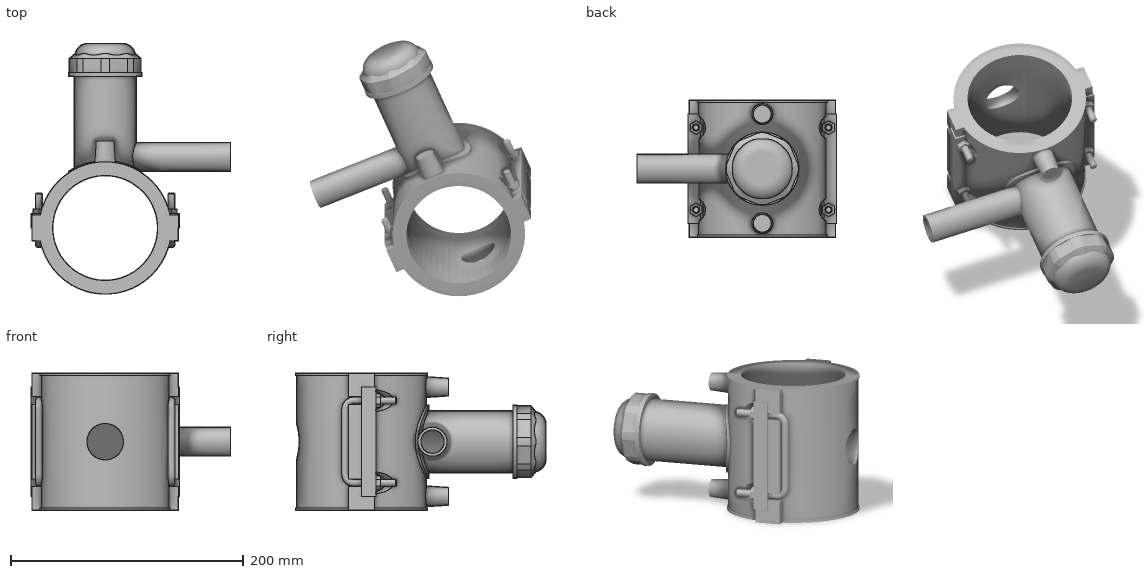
import cadquery as cq
import math

saddle_length = 118.0
bore_radius = 45.0
shell_radius = 56.0
rim_radius = 57.0
rim_width = 2.0

ear_reach = 63.0
ear_thickness = 11.0

plate_reach = 64.0
plate_inner = 53.0
plate_top = 12.3
plate_length = 94.5

bolt_x = 57.0
bolt_z = 35.4
rod_radius = 3.0
bolt_tip_y = 30.0
tip_chamfer = 0.7
bolt_bend_radius = 7.5
bolt_bar_y = -(ear_thickness + rod_radius)
nut_height = 4.0
nut_across_flats = 10.0
nut_sides = 6
nut_turn = 30.0
slot_width = 6.6
slot_inner_x = 54.0

pocket_base_radius = 10.0
pocket_tip_radius = 8.0
pocket_tip_y = 28.0
pocket_floor_radius = 52.3

branch_radius = 53.55 / 2
branch_bore_radius = 44.1 / 2
access_hole_radius = 31.36 / 2
collar_radius = 63.0 / 2
collar_outer_radius = 58.0

outlet_radius = 25.0 / 2
outlet_bore_radius = 20.0 / 2
outlet_y = 61.1
outlet_end_x = 108.0

terminal_z = 47.0
terminal_top_y = 75.0
terminal_base_radius = 9.7
terminal_tip_radius = 7.7

cap_flange_y = 130.4
cap_grip_y = 134.0
cap_shoulder_y = 145.8
cap_shoulder_top_y = 150.8
cap_top_y = 158.92
cap_flange_radius = 63.0 / 2
cap_grip_radius = 31.0
cap_shoulder_top_radius = 25.2
cap_dome_radius = 26.1
cap_dome_rounding = 11.3
cap_sides = 8
grip_apothem = 29.8
shoulder_top_apothem = 23.7

SIDES = (-1, 1)


def cylinder_y(radius, y_start, y_end, x=0.0, z=0.0):
    """Cylinder along Y between two Y positions."""
    return (
        cq.Workplane("XZ", origin=(x, y_start, z))
        .circle(radius)
        .extrude(-(y_end - y_start))
    )


def cone_y(start_radius, end_radius, y_start, y_end, x=0.0, z=0.0):
    """Truncated cone along Y between two Y positions."""
    cone = cq.Solid.makeCone(
        start_radius,
        end_radius,
        y_end - y_start,
        pnt=cq.Vector(x, y_start, z),
        dir=cq.Vector(0, 1, 0),
    )
    return cq.Workplane(obj=cone)


def cylinder_z(radius, length):
    """Cylinder on the main axis, centred on Z = 0."""
    return cq.Workplane("XY").circle(radius).extrude(length / 2, both=True)


def block(x_range, y_range, z_length, z_centre=0.0):
    """Box given by its X and Y limits and its length along Z."""
    x_size = x_range[1] - x_range[0]
    y_size = y_range[1] - y_range[0]
    centre = (sum(x_range) / 2, sum(y_range) / 2, z_centre)
    return cq.Workplane("XY").box(x_size, y_size, z_length).translate(centre)


def make_shell():
    """Shell with raised end rims and clamping ears, nut pockets and U-bolt slots."""
    shell = cylinder_z(shell_radius, saddle_length)
    rim_offset = (saddle_length - rim_width) / 2
    for side in SIDES:
        rim = cylinder_z(rim_radius, rim_width).translate((0, 0, side * rim_offset))
        shell = shell.union(rim)
    ears = block((-ear_reach, ear_reach), (-ear_thickness, ear_thickness), saddle_length)
    shell = shell.union(ears)
    core = cylinder_z(pocket_floor_radius, saddle_length)
    for side_x in SIDES:
        for side_z in SIDES:
            pocket = cone_y(
                pocket_base_radius,
                pocket_tip_radius,
                ear_thickness,
                pocket_tip_y,
                side_x * bolt_x,
                side_z * bolt_z,
            ).cut(core)
            slot_x = sorted((side_x * slot_inner_x, side_x * plate_reach))
            slot = block(slot_x, (-ear_thickness, 0), slot_width, side_z * bolt_z)
            shell = shell.cut(pocket).cut(slot)
    return shell


def make_plate(side_x):
    """Steel plate over one upper ear."""
    x_range = sorted((side_x * plate_inner, side_x * plate_reach))
    return block(x_range, (0, plate_top), plate_length)


def make_u_bolt(side_x):
    """U-shaped rod with chamfered tips and two hexagon nuts."""
    bend_y = bolt_bar_y + bolt_bend_radius
    bar_half = bolt_z - bolt_bend_radius
    bend_mid = bolt_bend_radius * math.sqrt(0.5)
    path = (
        cq.Workplane("YZ", origin=(side_x * bolt_x, 0, 0))
        .moveTo(bolt_tip_y, bolt_z)
        .lineTo(bend_y, bolt_z)
        .threePointArc((bend_y - bend_mid, bar_half + bend_mid), (bolt_bar_y, bar_half))
        .lineTo(bolt_bar_y, -bar_half)
        .threePointArc((bend_y - bend_mid, -bar_half - bend_mid), (bend_y, -bolt_z))
        .lineTo(bolt_tip_y, -bolt_z)
    )
    bolt = (
        cq.Workplane("XZ", origin=(side_x * bolt_x, bolt_tip_y, bolt_z))
        .circle(rod_radius)
        .sweep(path)
        .faces(">Y")
        .chamfer(tip_chamfer)
    )
    nut_across_corners = nut_across_flats / math.cos(math.pi / nut_sides)
    for side_z in SIDES:
        nut = (
            cq.Workplane("XZ", origin=(side_x * bolt_x, plate_top, side_z * bolt_z))
            .transformed(rotate=(0, 0, nut_turn))
            .polygon(nut_sides, nut_across_corners)
            .extrude(-nut_height)
        )
        bolt = bolt.union(nut)
    return bolt


def make_branch():
    """Branch tube with the curved collar that seats on the shell."""
    tube = cylinder_y(branch_radius, bore_radius, cap_flange_y)
    collar = cylinder_y(collar_radius, 0, collar_outer_radius)
    collar = collar.intersect(cylinder_z(collar_outer_radius, saddle_length))
    return tube.union(collar)


def make_cap():
    """Screw cap: flange, grip with flats, tapered shoulder and rounded dome."""
    flange = cylinder_y(cap_flange_radius, cap_flange_y, cap_grip_y)
    grip = cylinder_y(cap_grip_radius, cap_grip_y, cap_shoulder_y)
    shoulder = cone_y(
        cap_grip_radius,
        cap_shoulder_top_radius,
        cap_shoulder_y,
        cap_shoulder_top_y,
    )

    corner_factor = 1 / math.cos(math.pi / cap_sides)
    grip_prism = (
        cq.Workplane("XZ", origin=(0, cap_grip_y, 0))
        .polygon(cap_sides, 2 * grip_apothem * corner_factor)
        .extrude(-(cap_shoulder_y - cap_grip_y))
    )
    shoulder_prism = (
        cq.Workplane("XZ", origin=(0, cap_shoulder_y, 0))
        .polygon(cap_sides, 2 * grip_apothem * corner_factor)
        .workplane(offset=-(cap_shoulder_top_y - cap_shoulder_y))
        .polygon(cap_sides, 2 * shoulder_top_apothem * corner_factor)
        .loft(ruled=True)
    )
    dome = cylinder_y(cap_dome_radius, cap_shoulder_y, cap_top_y)
    dome = dome.faces(">Y").edges().fillet(cap_dome_rounding)
    return (
        flange.union(grip.intersect(grip_prism))
        .union(shoulder.intersect(shoulder_prism))
        .union(dome)
    )


def outlet_cylinder(radius):
    """Cylinder on the outlet axis, from the branch axis to the outlet end."""
    return (
        cq.Workplane("YZ")
        .center(outlet_y, 0)
        .circle(radius)
        .extrude(outlet_end_x)
    )


def make_terminal(side_z):
    """Tapered terminal stud beside the branch tube."""
    return cone_y(
        terminal_base_radius,
        terminal_tip_radius,
        bore_radius,
        terminal_top_y,
        z=side_z * terminal_z,
    )


body = make_shell().union(make_branch()).union(make_cap())
body = body.union(outlet_cylinder(outlet_radius))
for side in SIDES:
    body = body.union(make_terminal(side))
    body = body.union(make_plate(side))
    body = body.union(make_u_bolt(side))

main_bore = cylinder_z(bore_radius, saddle_length)
branch_bore = cylinder_y(branch_bore_radius, 0, cap_flange_y)
access_hole = cylinder_y(access_hole_radius, -rim_radius, 0)
outlet_bore = outlet_cylinder(outlet_bore_radius)
result = body.cut(main_bore).cut(branch_bore).cut(access_hole).cut(outlet_bore)